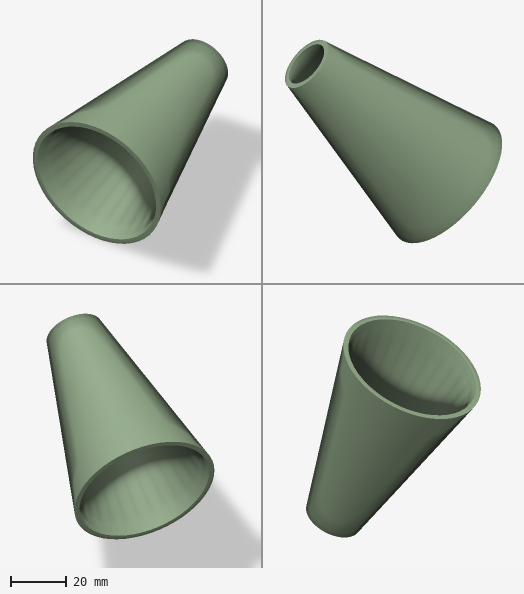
import cadquery as cq

length = 76.0
wide_diameter = 54.0
narrow_diameter = 21.3
wall = 2.0

wide_radius = wide_diameter / 2
narrow_radius = narrow_diameter / 2

wall_section = [
    (wide_radius - wall, 0),
    (wide_radius, 0),
    (narrow_radius, length),
    (narrow_radius - wall, length),
]

result = cq.Workplane("XY").polyline(wall_section).close().revolve(360, (0, 0, 0), (0, 1, 0))